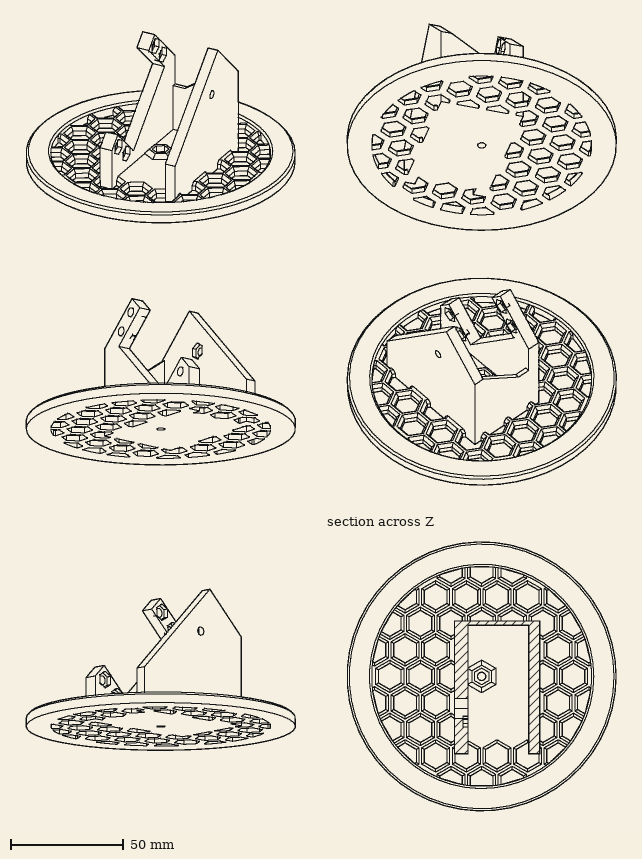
import cadquery as cq
import math

disc_diameter = 120.0
rim_height = 5.0
rim_chamfer = 1.0
mesh_radius = 49.0
mesh_height = rim_height - rim_chamfer

cell_pitch = 13.65
row_pitch = cell_pitch * math.sqrt(3) / 2
opening_flats = 10.0
mouth_flats = 12.5
mouth_depth = 1.6
cell_centre_limit = mesh_radius + rim_chamfer
row_reach = 4
column_reach = 4
solid_row_front = -2
solid_row_back = 1

left_plate_x = (-12.1, -6.0)
right_plate_x = (21.0, 26.0)
bracket_front_y = -34.5
bracket_back_y = 24.8
bracket_top_z = 59.5
back_wall_thickness = 2.0
back_wall_low_z = 26.0
back_wall_slope_start_x = 0.0

shaft_z = 39.8
shaft_depth = 10.0
peak_y = bracket_top_z - shaft_z - math.sqrt(2) * shaft_depth
slope_front_z = bracket_top_z - (peak_y - bracket_front_y)
slope_back_z = bracket_top_z - (bracket_back_y - peak_y)

seat_start = 7.8
seat_length = 41.1
seat_depth = 20.8
seat_middle = seat_start + seat_length / 2
seat_hole_diameter = 4.0
seat_hole_rows = ((5.0, 49.2), (15.0, 48.2))
seat_nut_depth = 2.2

screw_diameter = 3.6
nut_flats = 6.42
shaft_nut_depth = 2.0
boss_nut_depth = 3.0
boss_base_flats = 12.6
boss_top_flats = 8.7
boss_top_z = 6.0


def hexagon(plane, flats):
    """Hexagon with corners on the local Y axis and flats facing local X."""
    radius = flats / math.sqrt(3)
    angles = [math.radians(30 + 60 * i) for i in range(6)]
    corners = [(radius * math.cos(a), radius * math.sin(a)) for a in angles]
    return plane.polyline(corners).close()


def hexagon_frustum(bottom_z, bottom_flats, top_z, top_flats):
    bottom = hexagon(cq.Workplane("XY", origin=(0, 0, bottom_z)), bottom_flats)
    return hexagon(bottom.workplane(offset=top_z - bottom_z), top_flats).loft(ruled=True)


def edge_point(along, depth):
    """(y, z) of a point given along and square to the sloping front edge."""
    y = peak_y + (depth - along) / math.sqrt(2)
    z = bracket_top_z - (depth + along) / math.sqrt(2)
    return (y, z)


def make_disc():
    """Disc section turned about Z: full-height rim, thinner mesh area."""
    outer = disc_diameter / 2
    section = [
        (0, 0),
        (outer, 0),
        (outer, rim_height - rim_chamfer),
        (outer - rim_chamfer, rim_height),
        (mesh_radius + rim_chamfer, rim_height),
        (mesh_radius, mesh_height),
        (0, mesh_height),
    ]
    return cq.Workplane("XZ").polyline(section).close().revolve(360, (0, 0), (0, 1))


def make_opening():
    straight = hexagon(cq.Workplane("XY"), opening_flats).extrude(mesh_height)
    mouth = hexagon_frustum(mesh_height - mouth_depth, opening_flats, mesh_height, mouth_flats)
    return straight.union(mouth).val()


def is_closed_cell(row, x):
    return solid_row_front <= row <= solid_row_back and left_plate_x[0] < x < right_plate_x[1]


def make_openings():
    opening = make_opening()
    cells = []
    for row in range(-row_reach, row_reach + 1):
        row_shift = cell_pitch / 2 * (row % 2)
        for column in range(-column_reach, column_reach + 1):
            x = column * cell_pitch + row_shift
            y = row * row_pitch
            if math.hypot(x, y) < cell_centre_limit and not is_closed_cell(row, x):
                cells.append(opening.translate(cq.Vector(x, y, 0)))
    mesh_area = cq.Workplane("XY").circle(mesh_radius).extrude(mesh_height)
    return mesh_area.intersect(cq.Workplane(cq.Compound.makeCompound(cells)))


def make_side_plate(x_range):
    outline = [
        (bracket_front_y, 0),
        (bracket_front_y, slope_front_z),
        (peak_y, bracket_top_z),
        (bracket_back_y, slope_back_z),
        (bracket_back_y, 0),
    ]
    plane = cq.Workplane("YZ", origin=(x_range[0], 0, 0))
    return plane.polyline(outline).close().extrude(x_range[1] - x_range[0])


def make_back_wall():
    outline = [
        (left_plate_x[1], 0),
        (left_plate_x[1], back_wall_low_z),
        (back_wall_slope_start_x, back_wall_low_z),
        (right_plate_x[0], slope_back_z),
        (right_plate_x[0], 0),
    ]
    plane = cq.Workplane("XZ", origin=(0, bracket_back_y, 0))
    return plane.polyline(outline).close().extrude(back_wall_thickness)


def make_floor():
    """Closes the back row of openings between the plates, up to the back wall."""
    width = right_plate_x[0] - left_plate_x[1]
    floor = cq.Workplane("XY").box(width, bracket_back_y, mesh_height, centered=False)
    return floor.translate((left_plate_x[1], 0, 0))


def make_boss():
    return hexagon_frustum(mesh_height, boss_base_flats, boss_top_z, boss_top_flats)


def make_seat_cut():
    """Seat notch, its screw holes and the nut pockets in the inner plate face."""
    outer_x, inner_x = left_plate_x
    thickness = inner_x - outer_x
    seat_end = seat_start + seat_length
    corners = [
        edge_point(seat_start, 0),
        edge_point(seat_start, seat_depth),
        edge_point(seat_end, seat_depth),
        edge_point(seat_end, 0),
    ]
    cut = cq.Workplane("YZ", origin=(outer_x, 0, 0)).polyline(corners).close().extrude(thickness)
    for depth, spacing in seat_hole_rows:
        for side in (-1, 1):
            y, z = edge_point(seat_middle + side * spacing / 2, depth)
            hole_plane = cq.Workplane("YZ", origin=(outer_x, y, z))
            nut_plane = cq.Workplane("YZ", origin=(inner_x - seat_nut_depth, y, z))
            cut = cut.union(hole_plane.circle(seat_hole_diameter / 2).extrude(thickness))
            cut = cut.union(hexagon(nut_plane, nut_flats).extrude(seat_nut_depth))
    return cut


def make_shaft_cut():
    """Screw hole in the right plate with a nut pocket in its inner face."""
    plane = cq.Workplane("YZ", origin=(right_plate_x[0], 0, shaft_z))
    hole = plane.circle(screw_diameter / 2).extrude(right_plate_x[1] - right_plate_x[0])
    return hole.union(hexagon(plane, nut_flats).extrude(shaft_nut_depth))


def make_boss_cut():
    """Screw hole through the disc centre with a nut pocket in the boss top."""
    hole = cq.Workplane("XY").circle(screw_diameter / 2).extrude(boss_top_z)
    plane = cq.Workplane("XY", origin=(0, 0, boss_top_z - boss_nut_depth))
    return hole.union(hexagon(plane, nut_flats).extrude(boss_nut_depth))


result = make_disc().cut(make_openings())
result = result.union(make_floor()).union(make_boss())
result = result.union(make_side_plate(left_plate_x)).union(make_side_plate(right_plate_x))
result = result.union(make_back_wall())
result = result.cut(make_seat_cut()).cut(make_shaft_cut()).cut(make_boss_cut())